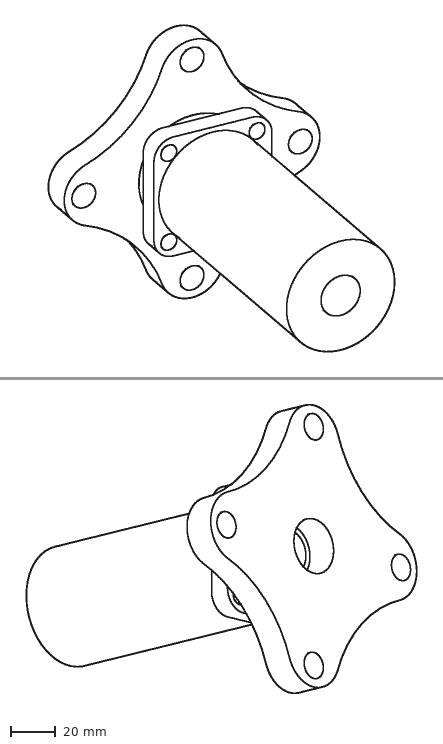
import cadquery as cq
import math

total_length = 154.5
flange_thickness = 15.0
ring_gap = 9.6
plate_thickness = 10.0
plate_start = flange_thickness + ring_gap
barrel_start = plate_start + plate_thickness

flange_width = 130.0
lobe_half_width = 15.0
waist_distance = 43.0
flange_hole_diameter = 12.0
flange_hole_distance = 55.0

ring_diameter = 57.2
ring_tube_radius = 6.2
ring_center_x = flange_thickness + 4.3

plate_width = 60.0
plate_corner_radius = 10.0
plate_hole_diameter = 8.0
plate_hole_distance = 31.7

barrel_diameter = 55.0
bore_diameter = 20.0
entry_bore_diameter = 25.0
entry_bore_depth = flange_thickness


def cylinder(diameter, start, end):
    """Cylinder on the X axis between two stations."""
    return cq.Workplane("YZ", origin=(start, 0, 0)).circle(diameter / 2).extrude(end - start)


def make_flange():
    """Plate with four lobes joined by concave arcs."""

    def turned(out, side, angle):
        c, s = math.cos(angle), math.sin(angle)
        return (out * c - side * s, out * s + side * c)

    outline = cq.Workplane("YZ").moveTo(flange_hole_distance, -lobe_half_width)
    for quarter in range(4):
        angle = quarter * math.pi / 2
        outline = outline.threePointArc(
            turned(flange_width / 2, 0, angle),
            turned(flange_hole_distance, lobe_half_width, angle),
        )
        outline = outline.threePointArc(
            turned(waist_distance, 0, angle + math.pi / 4),
            turned(flange_hole_distance, -lobe_half_width, angle + math.pi / 2),
        )
    flange = outline.close().extrude(flange_thickness)
    holes = (
        cq.Workplane("YZ")
        .polarArray(flange_hole_distance, 0, 360, 4)
        .circle(flange_hole_diameter / 2)
        .extrude(flange_thickness)
    )
    return flange.cut(holes)


def make_ring():
    """Solid collar with a bulging rim, filling the gap between flange and plate."""
    tube_center = ring_diameter / 2 - ring_tube_radius

    def rim_radius(x):
        return tube_center + math.sqrt(ring_tube_radius**2 - (x - ring_center_x) ** 2)

    return (
        cq.Workplane("XY")
        .moveTo(flange_thickness, 0)
        .lineTo(flange_thickness, rim_radius(flange_thickness))
        .threePointArc(
            (ring_center_x, ring_diameter / 2),
            (plate_start, rim_radius(plate_start)),
        )
        .lineTo(plate_start, 0)
        .close()
        .revolve(360, (0, 0, 0), (1, 0, 0))
    )


def make_plate():
    """Rounded square plate with a hole near each corner."""
    plane = cq.Workplane("YZ", origin=(plate_start, 0, 0))
    plate = plane.rect(plate_width, plate_width).extrude(plate_thickness)
    plate = plate.edges("|X").fillet(plate_corner_radius)
    holes = (
        plane.polarArray(plate_hole_distance, 45, 360, 4)
        .circle(plate_hole_diameter / 2)
        .extrude(plate_thickness)
    )
    return plate.cut(holes)


barrel = cylinder(barrel_diameter, barrel_start, total_length)
body = make_flange().union(make_ring()).union(make_plate()).union(barrel)
result = body.cut(cylinder(bore_diameter, 0, total_length))
result = result.cut(cylinder(entry_bore_diameter, 0, entry_bore_depth))